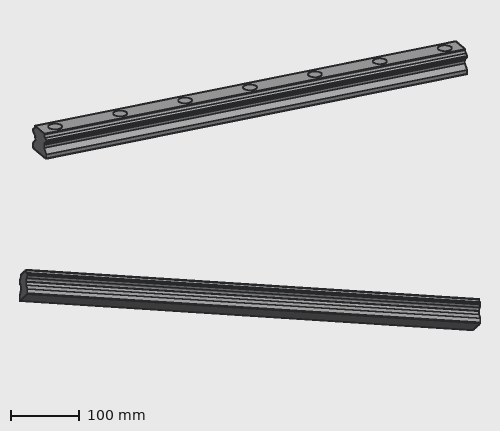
import cadquery as cq

length = 680.0
width = 45.0
height = 38.0

half_width = width / 2
top = height / 2
bottom = -height / 2
base_chamfer = 1.5

head_half_width = 15.5
upper_groove_start = (16.0, 18.0)
upper_groove_middle = (16.0, 15.0)
upper_groove_end = (19.0, 13.5)

shoulder_top = 11.0
shoulder_bottom = 9.0

lower_groove_start = (19.0, 5.5)
lower_groove_middle = (16.0, 4.0)
lower_groove_end = (15.5, 1.5)

waist_half_width = 15.0
waist_top = 1.0
waist_bottom = -4.0
foot_top = waist_bottom - (half_width - waist_half_width)

hole_count = 7
hole_diameter = 20.5
plug_recess = 0.15
end_margin = 25.0
hole_pitch = (length - 2 * end_margin) / (hole_count - 1)


def make_rail():
    """Extrude one half of the section along Y and mirror it across X = 0."""
    half_rail = (
        cq.Workplane("XZ", origin=(0, length / 2, 0))
        .moveTo(0, top)
        .lineTo(head_half_width, top)
        .lineTo(*upper_groove_start)
        .threePointArc(upper_groove_middle, upper_groove_end)
        .lineTo(half_width, shoulder_top)
        .lineTo(half_width, shoulder_bottom)
        .lineTo(*lower_groove_start)
        .threePointArc(lower_groove_middle, lower_groove_end)
        .lineTo(waist_half_width, waist_top)
        .lineTo(waist_half_width, waist_bottom)
        .lineTo(half_width, foot_top)
        .lineTo(half_width, bottom + base_chamfer)
        .lineTo(half_width - base_chamfer, bottom)
        .lineTo(0, bottom)
        .close()
        .extrude(length)
    )
    return half_rail.union(half_rail.mirror("YZ")).clean()


def make_plug_recesses():
    """One shallow disc per mounting hole, in a row along the rail."""
    return (
        cq.Workplane("XY", origin=(0, 0, top - plug_recess))
        .rarray(7, hole_pitch, 1, hole_count)
        .circle(hole_diameter / 2)
        .extrude(plug_recess)
    )


result = make_rail().cut(make_plug_recesses())